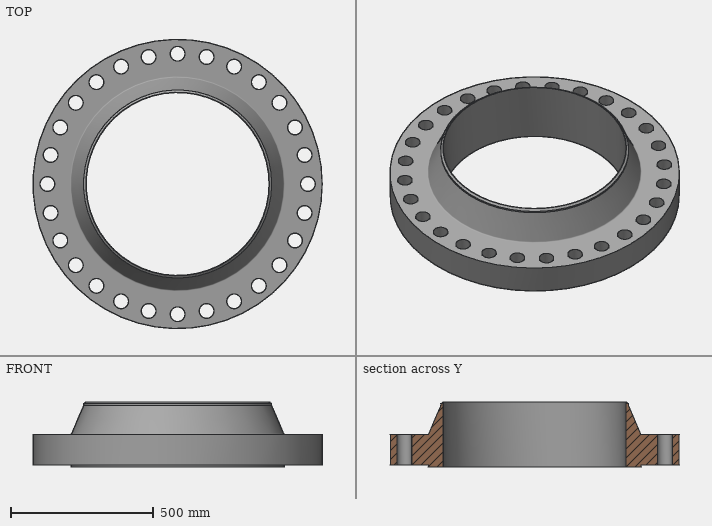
import cadquery as cq
import math

flange_diameter = 1016.0
flange_thickness = 108.0
raised_face_diameter = 749.3
raised_face_height = 6.35

overall_height = 228.6
hub_base_diameter = 747.7
hub_fillet_radius = 5.0
weld_end_diameter = 660.4
bore_diameter = 641.35
weld_end_depth = 12.0
bevel_angle = 37.5
root_land = 1.6

bolt_circle_diameter = 914.4
bolt_hole_diameter = 50.8
bolt_hole_count = 28

flange_bottom = raised_face_height
flange_top = flange_bottom + flange_thickness
hub_top = overall_height - weld_end_depth


def make_flange_plate():
    """Flange disc standing on its raised sealing face."""
    raised_face = cq.Workplane("XY").circle(raised_face_diameter / 2).extrude(raised_face_height)
    plate = (
        cq.Workplane("XY")
        .workplane(offset=flange_bottom)
        .circle(flange_diameter / 2)
        .extrude(flange_thickness)
    )
    return raised_face.union(plate)


def make_hub():
    """Tapered hub with a short straight weld end, bevelled down to the root land."""
    weld_end_radius = weld_end_diameter / 2
    land_radius = bore_diameter / 2 + root_land
    bevel_height = (weld_end_radius - land_radius) * math.tan(math.radians(bevel_angle))
    return (
        cq.Workplane("XZ")
        .moveTo(0, flange_bottom)
        .lineTo(hub_base_diameter / 2, flange_bottom)
        .lineTo(hub_base_diameter / 2, flange_top)
        .lineTo(weld_end_radius, hub_top)
        .lineTo(weld_end_radius, overall_height - bevel_height)
        .lineTo(land_radius, overall_height)
        .lineTo(0, overall_height)
        .close()
        .revolve(360, (0, 0, 0), (0, 1, 0))
    )


def fillet_hub_base(body):
    """Round the inside corner where the hub rises from the flange."""
    hub_radius = hub_base_diameter / 2
    margin = 1.0
    around_hub_base = cq.selectors.BoxSelector(
        (-hub_radius - margin, -hub_radius - margin, flange_top - margin),
        (hub_radius + margin, hub_radius + margin, flange_top + margin),
        boundingbox=True,
    )
    return body.edges(around_hub_base).fillet(hub_fillet_radius)


def cut_bore(body):
    """Straight bore through the full height."""
    bore = cq.Workplane("XY").circle(bore_diameter / 2).extrude(overall_height)
    return body.cut(bore)


def drill_bolt_holes(body):
    """Evenly spaced through holes on the bolt circle."""
    holes = (
        cq.Workplane("XY")
        .polarArray(bolt_circle_diameter / 2, 0, 360, bolt_hole_count)
        .circle(bolt_hole_diameter / 2)
        .extrude(flange_top)
    )
    return body.cut(holes)


body = make_flange_plate().union(make_hub())
body = fillet_hub_base(body)
body = cut_bore(body)
result = drill_bolt_holes(body)